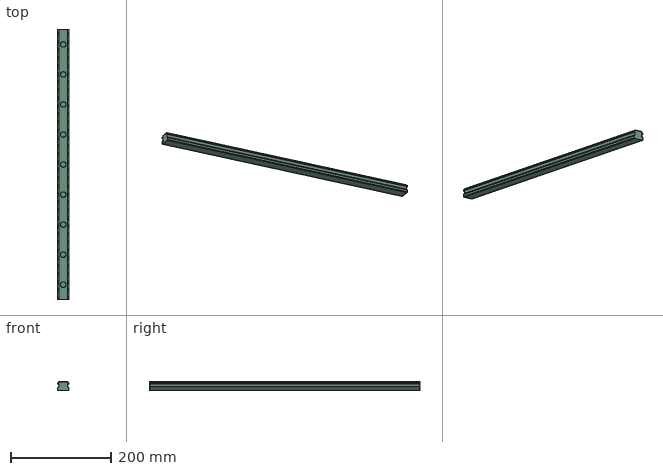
import cadquery as cq

rail_width = 23.0
rail_length = 540.0
rail_height = 18.0
half_width = rail_width / 2

foot_chamfer = 1.2
base_top_height = 5.5

neck_half_width = 8.8
neck_bottom_height = 8.1
neck_top_height = 9.9

lower_track_half_width = 9.0
lower_track_bottom_height = 11.4
lip_bottom_height = 13.0
lip_top_height = 14.8
upper_track_half_width = 9.0
upper_track_top_height = 16.7
track_sag = 0.5

crown_half_width = 8.0

hole_diameter = 11.0
hole_depth = 0.2
hole_pitch = 60.0
hole_count = 9


def make_half_rail():
    """Half of the rail profile on the +X side, extruded along Y about the origin."""
    profile = (
        cq.Workplane("XZ")
        .lineTo(half_width - foot_chamfer, 0)
        .lineTo(half_width, foot_chamfer)
        .lineTo(half_width, base_top_height)
        .lineTo(neck_half_width, neck_bottom_height)
        .lineTo(neck_half_width, neck_top_height)
        .lineTo(lower_track_half_width, lower_track_bottom_height)
        .sagittaArc((half_width, lip_bottom_height), track_sag)
        .lineTo(half_width, lip_top_height)
        .sagittaArc((upper_track_half_width, upper_track_top_height), track_sag)
        .lineTo(crown_half_width, rail_height)
        .lineTo(0, rail_height)
        .close()
    )
    return profile.extrude(rail_length / 2, both=True)


def make_rail():
    """Full rail, symmetric about the YZ plane."""
    half_rail = make_half_rail()
    return half_rail.union(half_rail.mirror("YZ")).clean()


def make_hole_recesses():
    """Row of shallow round recesses along the middle of the top face."""
    return (
        cq.Workplane("XY", origin=(0, 0, rail_height))
        .rarray(1, hole_pitch, 1, hole_count)
        .circle(hole_diameter / 2)
        .extrude(-hole_depth)
    )


result = make_rail().cut(make_hole_recesses())